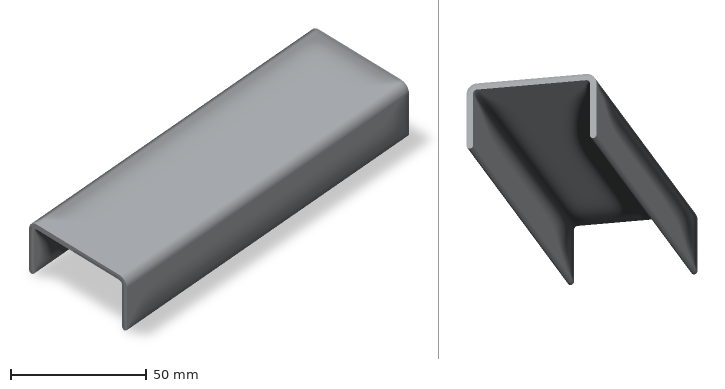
import cadquery as cq

width = 49.5
length = 152.4
height = 25.5

wall = 2.5
inner_radius = 1.5
outer_radius = inner_radius + wall
lip_radius = wall / 2

outer = (
    cq.Workplane("XY")
    .box(width, length, height)
    .edges("|Y and >Z")
    .fillet(outer_radius)
)
cavity = (
    cq.Workplane("XY")
    .box(width - 2 * wall, length, height)
    .edges("|Y and >Z")
    .fillet(inner_radius)
    .translate((0, 0, -wall))
)
channel = outer.cut(cavity)


def leg_end(side):
    """Half-round blank that replaces the square bottom of one leg."""
    leg_x = side * (width - wall) / 2
    return (
        cq.Workplane("XZ", origin=(leg_x, length / 2, -height / 2 + lip_radius))
        .circle(lip_radius)
        .extrude(length)
    )


trim = cq.Workplane("XY").box(width, length, lip_radius).translate((0, 0, (lip_radius - height) / 2))
result = channel.cut(trim)
for side in (-1, 1):
    result = result.union(leg_end(side))